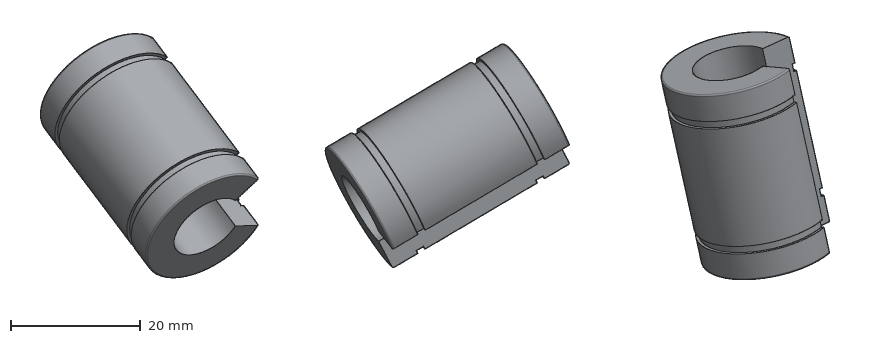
import cadquery as cq
import math

length = 32.0
outer_diameter = 22.0
bore_diameter = 12.0
edge_radius = 0.25

groove_diameter = 21.0
groove_width = 1.3
groove_outer_span = 22.9

opening_width_at_bore = 6.51
opening_half_angle = math.asin(opening_width_at_bore / bore_diameter)


def make_sleeve():
    sleeve = cq.Workplane("YZ").circle(outer_diameter / 2).extrude(length / 2, both=True)
    sleeve = sleeve.faces("<X or >X").edges().fillet(edge_radius)
    bore = cq.Workplane("YZ").circle(bore_diameter / 2).extrude(length / 2, both=True)
    return sleeve.cut(bore)


def make_groove_cutter(center_x):
    return (
        cq.Workplane("YZ", origin=(center_x, 0, 0))
        .circle(outer_diameter / 2)
        .circle(groove_diameter / 2)
        .extrude(groove_width / 2, both=True)
    )


def make_opening_cutter():
    reach_y = outer_diameter
    half_height = reach_y * math.tan(opening_half_angle)
    return (
        cq.Workplane("YZ")
        .polyline([(0, 0), (reach_y, -half_height), (reach_y, half_height)])
        .close()
        .extrude(length / 2, both=True)
    )


result = make_sleeve()
groove_offset = (groove_outer_span - groove_width) / 2
for side in (-1, 1):
    result = result.cut(make_groove_cutter(side * groove_offset))
result = result.cut(make_opening_cutter())